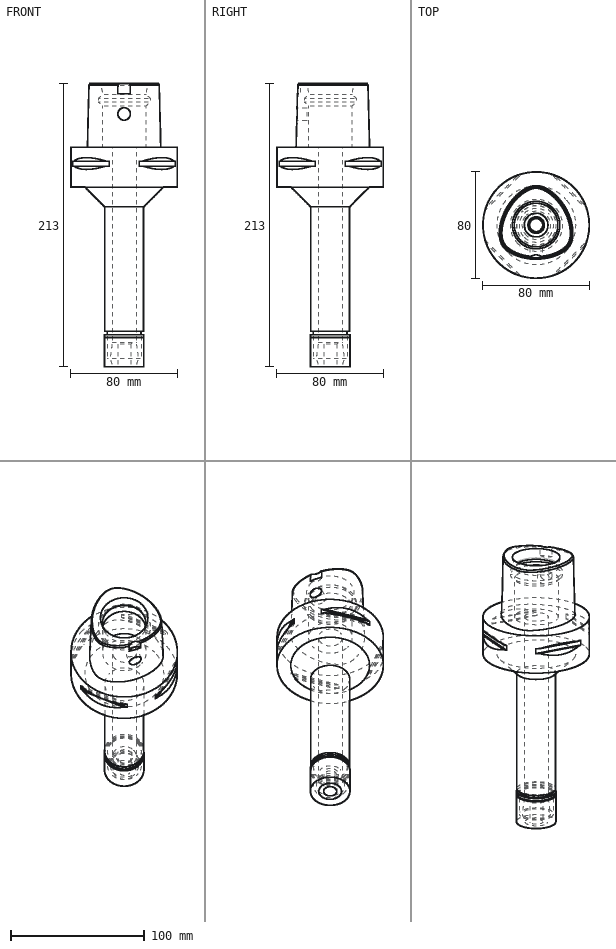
import cadquery as cq
import math

TOP_Z = 213.0
TAPER_LENGTH = 48.0
FLANGE_HEIGHT = 30.0
NECK_TOP_Z = 26.6
NUT_TOP_Z = 24.3
NOSE_Z = 6.4
FLANGE_TOP_Z = TOP_Z - TAPER_LENGTH
FLANGE_BOTTOM_Z = FLANGE_TOP_Z - FLANGE_HEIGHT

FLANGE_RADIUS = 40.0
SHANK_RADIUS = 14.7
NECK_RADIUS = 12.8
CONE_HEIGHT = 15.0
CONE_TOP_RADIUS = SHANK_RADIUS + CONE_HEIGHT
CONE_BOTTOM_Z = FLANGE_BOTTOM_Z - CONE_HEIGHT

LOBE_RADIUS = 27.7
LOBE_OFFSET = 2.0
TAPER_SLOPE = 1 / 40
TAPER_CHAMFER_HEIGHT = 1.5
TAPER_CHAMFER_WIDTH = 0.9
CURVE_POINTS = 24

MOUTH_RADIUS = 17.9
BORE_RADIUS = 16.5
GROOVE_RADIUS = 19.5
MOUTH_DEPTH = 6.5
GROOVE_START_DEPTH = 8.0
GROOVE_UPPER_DEPTH = GROOVE_START_DEPTH + GROOVE_RADIUS - BORE_RADIUS
GROOVE_LOWER_DEPTH = 13.8
GROOVE_END_DEPTH = 16.8
BORE_DEPTH = TAPER_LENGTH
COOLANT_RADIUS = 9.0

NOTCH_RADIUS = 6.4
NOTCH_DEPTH = 7.9
NOTCH_INNER_Y = -22.4
CROSS_HOLE_RADIUS = 4.7
CROSS_HOLE_DROP = 23.0
CROSS_HOLE_FLOOR_Y = -17.5

GRIP_COUNT = 4
GRIP_FLOOR_DISTANCE = 35.1
GRIP_FLOOR_HEIGHT = 3.8
GRIP_FLARE = 2.5
GRIP_FLARE_ANGLE = 35.0
GRIP_DROP = 12.4

NUT_RADIUS = 15.0
RING_GROOVE_TOP_Z = 22.4
RING_GROOVE_WIDTH = 0.6
RING_GROOVE_DEPTH = 0.2

COLLET_HOLE_RADIUS = 5.0
COLLET_HOLE_CHAMFER = 1.3
COLLET_FACE_RADIUS = 8.5
COLLET_ANGLE = 8.0
COLLET_SHOULDER_RADIUS = 10.6
COLLET_TOP_Z = NOSE_Z + (COLLET_SHOULDER_RADIUS - COOLANT_RADIUS) / math.tan(math.radians(COLLET_ANGLE))


def revolve_profile(points):
    """Turn a closed (radius, z) outline about the Z axis."""
    return cq.Workplane("XZ").polyline(points).close().revolve(360, (0, 0, 0), (0, 1, 0))


def lobe_wire(mean_radius, z):
    """Closed three-lobed curve at height z."""
    def point(step):
        angle = 2 * math.pi * step / CURVE_POINTS
        along = mean_radius * math.cos(angle) - LOBE_OFFSET * (2 * math.cos(2 * angle) - math.cos(4 * angle))
        across = mean_radius * math.sin(angle) + LOBE_OFFSET * (2 * math.sin(2 * angle) + math.sin(4 * angle))
        return cq.Vector(across, -along, z)

    curve = cq.Edge.makeSpline([point(step) for step in range(CURVE_POINTS)], periodic=True)
    return cq.Wire.assembleEdges([curve])


def make_taper():
    """Polygonal taper with a small chamfer round its top edge."""
    chamfer_z = TOP_Z - TAPER_CHAMFER_HEIGHT
    chamfer_radius = LOBE_RADIUS - (chamfer_z - FLANGE_TOP_Z) * TAPER_SLOPE
    base = lobe_wire(LOBE_RADIUS, FLANGE_TOP_Z)
    shoulder = lobe_wire(chamfer_radius, chamfer_z)
    top = lobe_wire(chamfer_radius - TAPER_CHAMFER_WIDTH, TOP_Z)
    return cq.Workplane(cq.Solid.makeLoft([base, shoulder, top], True))


def make_holder_bore():
    """Bore through the holder: mouth, inner groove, coolant hole and collet seat."""
    return revolve_profile([
        (0, TOP_Z),
        (MOUTH_RADIUS, TOP_Z),
        (BORE_RADIUS, TOP_Z - MOUTH_DEPTH),
        (BORE_RADIUS, TOP_Z - GROOVE_START_DEPTH),
        (GROOVE_RADIUS, TOP_Z - GROOVE_UPPER_DEPTH),
        (GROOVE_RADIUS, TOP_Z - GROOVE_LOWER_DEPTH),
        (BORE_RADIUS, TOP_Z - GROOVE_END_DEPTH),
        (BORE_RADIUS, TOP_Z - BORE_DEPTH),
        (COOLANT_RADIUS, TOP_Z - BORE_DEPTH),
        (COOLANT_RADIUS, COLLET_TOP_Z),
        (COLLET_SHOULDER_RADIUS, NOSE_Z),
        (0, NOSE_Z),
    ])


def make_key_notch():
    """Round-backed notch at the top of the taper's -Y side."""
    return (
        cq.Workplane("XY", origin=(0, NOTCH_INNER_Y - NOTCH_RADIUS, TOP_Z - NOTCH_DEPTH))
        .circle(NOTCH_RADIUS)
        .extrude(NOTCH_DEPTH)
    )


def make_cross_hole():
    """Blind radial hole in the -Y side, stopping short of the bore."""
    return (
        cq.Workplane("XZ", origin=(0, CROSS_HOLE_FLOOR_Y, TOP_Z - CROSS_HOLE_DROP))
        .circle(CROSS_HOLE_RADIUS)
        .extrude(FLANGE_RADIUS)
    )


def make_grip_groove(angle):
    """Straight flat-bottomed groove with flared sides, cut across the flange rim at one angle."""
    floor_half = GRIP_FLOOR_HEIGHT / 2
    mouth_half = floor_half + GRIP_FLARE
    flare_distance = FLANGE_RADIUS - GRIP_FLARE / math.tan(math.radians(GRIP_FLARE_ANGLE))
    section = [
        (GRIP_FLOOR_DISTANCE, -floor_half),
        (flare_distance, -floor_half),
        (FLANGE_RADIUS, -mouth_half),
        (FLANGE_RADIUS, mouth_half),
        (flare_distance, floor_half),
        (GRIP_FLOOR_DISTANCE, floor_half),
    ]
    return (
        cq.Workplane("XZ", origin=(0, 0, FLANGE_TOP_Z - GRIP_DROP))
        .polyline(section)
        .close()
        .extrude(FLANGE_RADIUS, both=True)
        .rotate((0, 0, 0), (0, 0, 1), angle)
    )


def make_holder():
    turned = revolve_profile([
        (0, NOSE_Z),
        (NECK_RADIUS, NOSE_Z),
        (NECK_RADIUS, NECK_TOP_Z),
        (SHANK_RADIUS, NECK_TOP_Z),
        (SHANK_RADIUS, CONE_BOTTOM_Z),
        (CONE_TOP_RADIUS, FLANGE_BOTTOM_Z),
        (FLANGE_RADIUS, FLANGE_BOTTOM_Z),
        (FLANGE_RADIUS, FLANGE_TOP_Z),
        (0, FLANGE_TOP_Z),
    ])
    body = turned.union(make_taper())
    body = body.cut(make_holder_bore()).cut(make_key_notch()).cut(make_cross_hole())
    spacing = 360 / GRIP_COUNT
    for index in range(GRIP_COUNT):
        body = body.cut(make_grip_groove((index + 0.5) * spacing))
    return body


def make_nut():
    """Clamping nut round the neck, with a fine ring groove near its top."""
    groove_bottom_z = RING_GROOVE_TOP_Z - RING_GROOVE_WIDTH
    groove_radius = NUT_RADIUS - RING_GROOVE_DEPTH
    return revolve_profile([
        (COLLET_FACE_RADIUS, 0),
        (NUT_RADIUS, 0),
        (NUT_RADIUS, groove_bottom_z),
        (groove_radius, groove_bottom_z),
        (groove_radius, RING_GROOVE_TOP_Z),
        (NUT_RADIUS, RING_GROOVE_TOP_Z),
        (NUT_RADIUS, NUT_TOP_Z),
        (NECK_RADIUS, NUT_TOP_Z),
        (NECK_RADIUS, NOSE_Z),
        (COLLET_SHOULDER_RADIUS, NOSE_Z),
    ])


def make_collet():
    """Double-tapered collet held between the holder seat and the nut."""
    return revolve_profile([
        (COLLET_HOLE_RADIUS, 0),
        (COLLET_FACE_RADIUS, 0),
        (COLLET_SHOULDER_RADIUS, NOSE_Z),
        (COOLANT_RADIUS, COLLET_TOP_Z),
        (COLLET_HOLE_RADIUS + COLLET_HOLE_CHAMFER, COLLET_TOP_Z),
        (COLLET_HOLE_RADIUS, COLLET_TOP_Z - COLLET_HOLE_CHAMFER),
    ])


holder = make_holder()
nut = make_nut()
collet = make_collet()

result = cq.Compound.makeCompound([holder.val(), nut.val(), collet.val()])